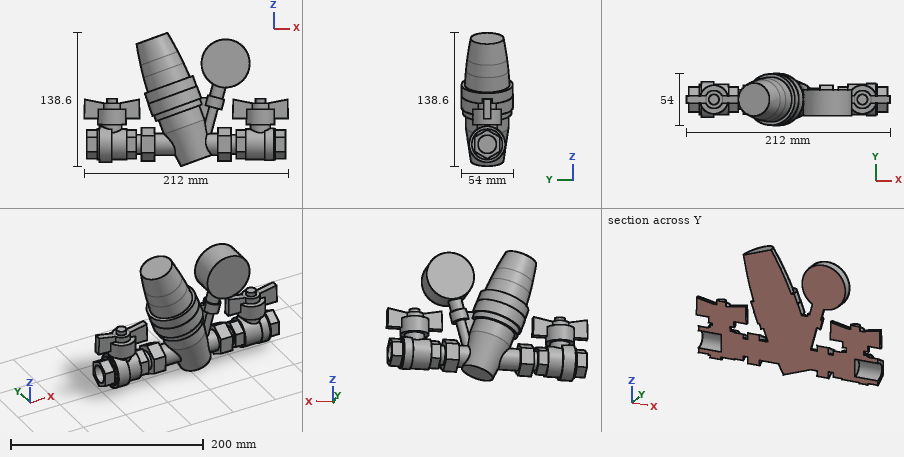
import cadquery as cq
import math


overall_length = 212.0
centre_pipe_radius = 11.5
tail_pipe_radius = 10.2
union_nut_inner_x = 32.9
union_nut_length = 13.8
union_nut_radius = 17.4

valve_body_length = 30.3
valve_body_radius = 16.0
valve_hex_radius = 15.0
valve_inner_hex_length = 10.2
valve_outer_hex_length = 11.0
bore_radius = 9.5
left_collar_offset = 0.0
left_collar_length = 13.1
left_collar_radius = 18.7
right_collar_offset = 4.5
right_collar_length = 9.3
right_collar_radius = 16.7

stem_radius = 10.4
cap_radius = 14.8
cap_bottom_z = 20.4
cap_top_z = 36.5
hub_radius = 9.3
hub_top_z = 42.8
knob_radius = 5.3
knob_top_z = 47.5
handle_length = 57.9
handle_thickness = 7.5
handle_bottom_z = 26.7
handle_tip_z = 46.6
handle_tip_taper = 0.6
handle_root_half = 8.5

strainer_tilt = 20.0
strainer_foot_x = 10.5
strainer_foot_z = -17.0
strainer_end_radius = 17.2
cone_top = 37.5
barrel_radius = 22.5
barrel_top = 52.8
step_ring_radius = 25.5
step_ring_top = 59.1
main_ring_diameter = 54.0
main_ring_top = 72.5
upper_ring_radius = 26.7
upper_ring_top = 84.0
dome_base_radius = 23.3
dome_line_stations = (100.0, 113.2)
strainer_length = 135.0
dome_bulge = 0.95

gauge_diameter = 50.2
gauge_centre_x = 41.0
gauge_centre_z = 84.0
gauge_front_y = -17.0
gauge_depth = 27.0
gauge_tilt = 15.0
gauge_collar_x = 29.7
gauge_collar_z = 43.5
gauge_collar_radius = 9.0
gauge_collar_length = 10.8
gauge_lower_stem_radius = 4.9
gauge_lower_stem_length = 40.3
gauge_upper_stem_radius = 7.0
gauge_upper_stem_length = 29.7

web_thickness = 4.2
web_top_z = 48.3
web_bottom_z = 21.0
web_root_x = 8.5

valve_x = (overall_length - handle_length) / 2
valve_inner_x = valve_x - valve_body_length / 2
valve_outer_x = valve_x + valve_body_length / 2


def rod_x(x_start, length, radius):
    """Cylinder on the pipe axis."""
    return cq.Workplane("YZ", origin=(x_start, 0, 0)).circle(radius).extrude(length)


def hex_x(x_start, length, corner_radius):
    """Hexagonal prism along X with corners at the top and bottom."""
    corners = [
        (corner_radius * math.sin(math.radians(60 * i)), corner_radius * math.cos(math.radians(60 * i)))
        for i in range(6)
    ]
    return cq.Workplane("YZ", origin=(x_start, 0, 0)).polyline(corners).close().extrude(length)


def rod_z(z_start, z_end, radius):
    """Cylinder on the valve stem axis."""
    return cq.Workplane("XY", origin=(valve_x, 0, z_start)).circle(radius).extrude(z_end - z_start)


def make_handle():
    """Butterfly handle whose top edge falls from both tips to the hub."""
    half = handle_length / 2
    outline = [
        (-half, handle_bottom_z),
        (half, handle_bottom_z),
        (half - handle_tip_taper, handle_tip_z),
        (handle_root_half, hub_top_z),
        (-handle_root_half, hub_top_z),
        (-half + handle_tip_taper, handle_tip_z),
    ]
    blade = cq.Workplane("XZ").polyline(outline).close().extrude(handle_thickness / 2, both=True)
    return blade.translate((valve_x, 0, 0))


def make_branch(collar_offset, collar_length, collar_radius):
    """Union nut, tail pipe and ball valve on the +X side."""
    hex_inner_x = valve_inner_x - valve_inner_hex_length
    branch = hex_x(union_nut_inner_x, union_nut_length, union_nut_radius)
    pieces = [
        rod_x(union_nut_inner_x, hex_inner_x - union_nut_inner_x, tail_pipe_radius),
        hex_x(hex_inner_x, valve_inner_hex_length, valve_hex_radius),
        rod_x(valve_inner_x, valve_body_length, valve_body_radius),
        rod_x(valve_x + collar_offset, collar_length, collar_radius),
        hex_x(valve_outer_x, valve_outer_hex_length, valve_hex_radius),
        rod_z(0, cap_bottom_z, stem_radius),
        rod_z(cap_bottom_z, cap_top_z, cap_radius),
        rod_z(cap_top_z, hub_top_z, hub_radius),
        rod_z(hub_top_z, knob_top_z, knob_radius),
        make_handle(),
    ]
    for piece in pieces:
        branch = branch.union(piece)
    bore = rod_x(valve_x, valve_outer_x + valve_outer_hex_length - valve_x, bore_radius)
    return branch.cut(bore)


def dome_radius_at(station):
    """Radius of the strainer dome: a straight taper plus a parabolic bulge."""
    t = (station - upper_ring_top) / (strainer_length - upper_ring_top)
    taper = dome_base_radius + (strainer_end_radius - dome_base_radius) * t
    return taper + 4 * dome_bulge * t * (1 - t)


def make_strainer():
    """Revolved strainer body, leaning toward -X."""
    profile = (
        cq.Workplane("XZ")
        .lineTo(strainer_end_radius, 0)
        .lineTo(barrel_radius, cone_top)
        .lineTo(barrel_radius, barrel_top)
        .lineTo(step_ring_radius, barrel_top)
        .lineTo(step_ring_radius, step_ring_top)
        .lineTo(main_ring_diameter / 2, step_ring_top)
        .lineTo(main_ring_diameter / 2, main_ring_top)
        .lineTo(upper_ring_radius, main_ring_top)
        .lineTo(upper_ring_radius, upper_ring_top)
        .lineTo(dome_base_radius, upper_ring_top)
    )
    start = upper_ring_top
    for end in (*dome_line_stations, strainer_length):
        middle = (start + end) / 2
        profile = profile.threePointArc((dome_radius_at(middle), middle), (dome_radius_at(end), end))
        start = end
    body = profile.lineTo(0, strainer_length).close().revolve(360, (0, 0, 0), (0, 1, 0))
    body = body.rotate((0, 0, 0), (0, 1, 0), -strainer_tilt)
    return body.translate((strainer_foot_x, 0, strainer_foot_z))


def make_gauge():
    """Dial case on a stepped stem that leans toward +X."""
    half_collar = gauge_collar_length / 2
    stem = (
        cq.Workplane("XY")
        .circle(gauge_collar_radius)
        .extrude(half_collar, both=True)
        .union(cq.Workplane("XY").circle(gauge_lower_stem_radius).extrude(-gauge_lower_stem_length))
        .union(cq.Workplane("XY").circle(gauge_upper_stem_radius).extrude(gauge_upper_stem_length))
        .rotate((0, 0, 0), (0, 1, 0), gauge_tilt)
        .translate((gauge_collar_x, 0, gauge_collar_z))
    )
    case = (
        cq.Workplane("XZ", origin=(gauge_centre_x, gauge_front_y, gauge_centre_z))
        .circle(gauge_diameter / 2)
        .extrude(-gauge_depth)
    )
    return stem.union(case)


def gauge_axis_x(z):
    """X of the leaning gauge stem axis at height z."""
    return gauge_collar_x + (z - gauge_collar_z) * math.tan(math.radians(gauge_tilt))


def make_web():
    """Flat web that fills the wedge between the strainer and the gauge stem."""
    outline = [
        (web_root_x, web_bottom_z),
        (gauge_axis_x(web_bottom_z), web_bottom_z),
        (gauge_axis_x(web_top_z), web_top_z),
        (web_root_x, web_top_z),
    ]
    return cq.Workplane("XZ").polyline(outline).close().extrude(web_thickness / 2, both=True)


right_branch = make_branch(right_collar_offset, right_collar_length, right_collar_radius)
left_branch = make_branch(left_collar_offset, left_collar_length, left_collar_radius).mirror("YZ")
centre_pipe = rod_x(-union_nut_inner_x, 2 * union_nut_inner_x, centre_pipe_radius)

result = (
    centre_pipe.union(right_branch)
    .union(left_branch)
    .union(make_strainer())
    .union(make_gauge())
    .union(make_web())
)